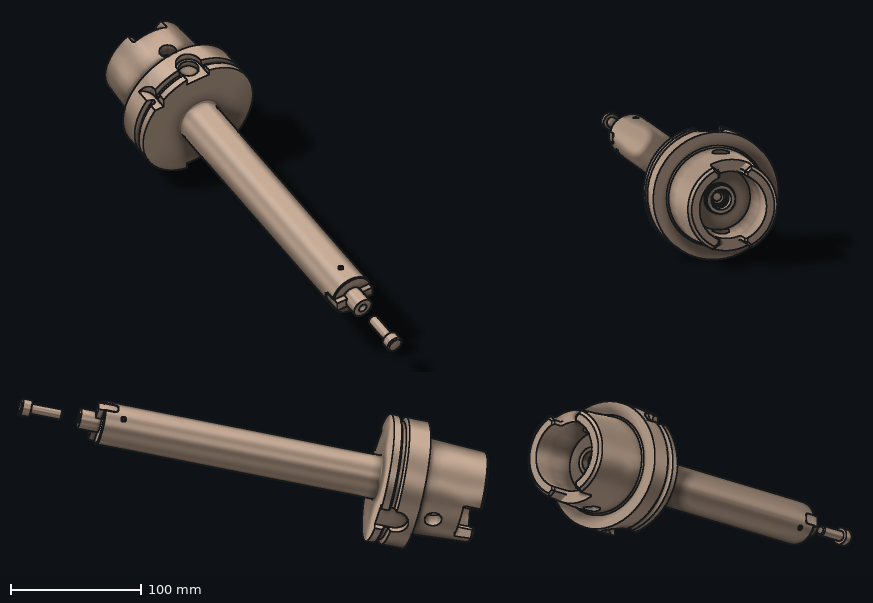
import cadquery as cq
import math

overall_length = 363.0

shank_length = 50.0
shank_root_diameter = 76.0
shank_taper = 0.1
shank_tip_chamfer_length = 1.8
shank_tip_chamfer_height = 2.5
shank_root_land = 1.0
shank_root_flare_length = 1.0
shank_root_flare_height = 1.5
shank_bore_diameter = 53.5
shank_bore_floor = -9.5
shank_bore_narrowing = -31.5
shank_bore_floor_diameter = 49.5
access_hole_diameter = 13.0
access_hole_x = -14.5

drive_slot_width = 20.0
drive_slot_mouth_width = 29.8
drive_slot_flare_start = 28.0
drive_slot_flare_end = 32.0
drive_slot_depths = {1: 10.5, -1: 15.2}
drive_slot_floor_fillet = 1.8
drive_slot_edge_chamfer = 1.8

boss_diameter = 22.5
boss_front = -15.5
boss_collar_diameter = 24.0
boss_collar_front = -12.0
coolant_seat_diameter = 16.0
coolant_seat_depth = 7.3
coolant_step_diameter = 13.0
coolant_step_depth = 3.5
coolant_cone_diameter = 10.0
channel_diameter = 7.0

flange_diameter = 100.0
flange_width = 29.0
groove_x = 20.0
groove_root_diameter = 92.2
groove_root_width = 3.0
groove_half_angle = 24.0
key_slot_width = 20.0
key_slot_end = 5.5
key_slot_floor = 44.0
chip_hole_diameter = 15.5
chip_hole_depth = 5.0
index_notch_offset = 31.2

arbor_diameter = 34.0
arbor_end = 250.0
arbor_root_fillet = 2.0
arbor_end_chamfer_length = 1.0
arbor_end_chamfer_height = 0.5
spigot_diameter = 16.0
spigot_neck_diameter = 15.5
spigot_neck_length = 1.5
spigot_neck_taper_length = 1.0
spigot_length = 16.0
driver_width = 8.0
driver_span = 32.0
driver_start = 239.2
driver_end = 255.0
driver_corner_chamfer = 1.8
outlet_diameter = 2.5
outlet_mouth_diameter = 4.0
outlet_mouth_depth = 1.0
outlet_count = 3
outlet_x = 234.5

screw_end = overall_length - shank_length
screw_length = 33.0
screw_diameter = 8.0
screw_tip_chamfer = 1.0
screw_head_diameter = 13.0
screw_head_length = 8.0
screw_head_chamfer = 1.0

flange_radius = flange_diameter / 2
arbor_radius = arbor_diameter / 2
spigot_end = arbor_end + spigot_length
shank_root_radius = shank_root_diameter / 2
shank_tip_radius = shank_root_radius - shank_taper * shank_length / 2
key_slot_radius = key_slot_width / 2
key_slot_centre = key_slot_end + key_slot_radius


def revolve_about_x(points):
    """Turn a closed (x, radius) outline about the X axis."""
    return cq.Workplane("XY").polyline(points).close().revolve(360, (0, 0, 0), (1, 0, 0))


def cylinder_along_x(diameter, start, end):
    return cq.Workplane("YZ", origin=(start, 0, 0)).circle(diameter / 2).extrude(end - start)


def box_between(x_range, y_range, z_range):
    size = [high - low for low, high in (x_range, y_range, z_range)]
    corner = (x_range[0], y_range[0], z_range[0])
    return cq.Workplane("XY", origin=corner).box(*size, centered=False)


def turned_blank():
    """Shank, flange, arbor and spigot as one turned shape, without bores."""
    chamfer_start = -shank_length + shank_tip_chamfer_length
    chamfer_start_radius = shank_root_radius + shank_taper * chamfer_start / 2
    neck_end = arbor_end + spigot_neck_length
    neck_radius = spigot_neck_diameter / 2
    spigot_radius = spigot_diameter / 2
    fillet_centre = (flange_width + arbor_root_fillet, arbor_radius + arbor_root_fillet)
    fillet_middle_angle = 45
    fillet_reach = arbor_root_fillet * math.sin(math.radians(fillet_middle_angle))
    fillet_middle = (fillet_centre[0] - fillet_reach, fillet_centre[1] - fillet_reach)
    return (
        cq.Workplane("XY")
        .moveTo(-shank_length, 0)
        .lineTo(-shank_length, shank_tip_radius - shank_tip_chamfer_height)
        .lineTo(chamfer_start, chamfer_start_radius)
        .lineTo(-shank_root_flare_length - shank_root_land, shank_root_radius)
        .lineTo(-shank_root_flare_length, shank_root_radius)
        .lineTo(0, shank_root_radius + shank_root_flare_height)
        .lineTo(0, flange_radius)
        .lineTo(flange_width, flange_radius)
        .lineTo(flange_width, fillet_centre[1])
        .threePointArc(fillet_middle, (fillet_centre[0], arbor_radius))
        .lineTo(arbor_end - arbor_end_chamfer_length, arbor_radius)
        .lineTo(arbor_end, arbor_radius - arbor_end_chamfer_height)
        .lineTo(arbor_end, neck_radius)
        .lineTo(neck_end, neck_radius)
        .lineTo(neck_end + spigot_neck_taper_length, spigot_radius)
        .lineTo(spigot_end, spigot_radius)
        .lineTo(spigot_end, 0)
        .close()
        .revolve(360, (0, 0, 0), (1, 0, 0))
    )


def shank_cavity():
    """Bore of the shank around the coolant boss, which is left standing on its bottom."""
    bore_radius = shank_bore_diameter / 2
    boss_radius = boss_diameter / 2
    collar_radius = boss_collar_diameter / 2
    return revolve_about_x([
        (-shank_length, 0),
        (-shank_length, bore_radius),
        (shank_bore_narrowing, bore_radius),
        (shank_bore_floor, shank_bore_floor_diameter / 2),
        (shank_bore_floor, collar_radius),
        (boss_collar_front + collar_radius - boss_radius, collar_radius),
        (boss_collar_front, boss_radius),
        (boss_front, boss_radius),
        (boss_front, 0),
    ])


def coolant_passage():
    """Stepped passage from the boss to the end of the spigot."""
    seat_end = boss_front + coolant_seat_depth
    step_end = seat_end + coolant_step_depth
    cone_end = step_end + (coolant_cone_diameter - channel_diameter) / 2
    return revolve_about_x([
        (boss_front, 0),
        (boss_front, coolant_seat_diameter / 2),
        (seat_end, coolant_seat_diameter / 2),
        (seat_end, coolant_step_diameter / 2),
        (step_end, coolant_step_diameter / 2),
        (step_end, coolant_cone_diameter / 2),
        (cone_end, channel_diameter / 2),
        (spigot_end, channel_diameter / 2),
        (spigot_end, 0),
    ])


def drive_slot(side):
    """Flared slot through one wall of the shank tip: side 1 is towards +Z, side -1 towards -Z."""
    half_width = drive_slot_width / 2
    half_mouth = drive_slot_mouth_width / 2
    flare_slope = (half_mouth - half_width) / (drive_slot_flare_end - drive_slot_flare_start)
    top = flange_radius
    half_top = half_width + flare_slope * (top - drive_slot_flare_start)
    outline = [
        (-half_width, 0),
        (half_width, 0),
        (half_width, side * drive_slot_flare_start),
        (half_top, side * top),
        (-half_top, side * top),
        (-half_width, side * drive_slot_flare_start),
    ]
    depth = drive_slot_depths[side]
    slot = cq.Workplane("YZ", origin=(-shank_length, 0, 0)).polyline(outline).close().extrude(depth)
    slot = slot.faces(">X").edges().fillet(drive_slot_floor_fillet)
    return slot.union(slot_edge_chamfer(outline))


def slot_edge_chamfer(outline):
    """Tapered cut that breaks the edges of a drive slot on the front face of the shank."""
    chamfer_angle = 45
    return (
        cq.Workplane("YZ", origin=(-shank_length, 0, 0))
        .polyline(outline)
        .close()
        .offset2D(drive_slot_edge_chamfer, "intersection")
        .extrude(drive_slot_edge_chamfer, taper=chamfer_angle)
    )


def access_hole():
    """Cross hole through both walls of the shank, clear of the boss inside."""
    return (
        cq.Workplane("XY", origin=(access_hole_x, 0, -flange_radius))
        .circle(access_hole_diameter / 2)
        .extrude(flange_diameter)
        .cut(cylinder_along_x(shank_bore_floor_diameter, -shank_length, flange_width))
    )


def gripper_groove():
    """V-groove around the flange."""
    root_radius = groove_root_diameter / 2
    half_root = groove_root_width / 2
    half_mouth = half_root + (flange_radius - root_radius) * math.tan(math.radians(groove_half_angle))
    return revolve_about_x([
        (groove_x - half_mouth, flange_radius),
        (groove_x - half_root, root_radius),
        (groove_x + half_root, root_radius),
        (groove_x + half_mouth, flange_radius),
    ])


def round_ended_slot(y_centre, floor):
    """Slot with its floor at Z = floor, rounded at its -X end and open through the +X face."""
    height = flange_radius - floor
    y_range = (y_centre - key_slot_radius, y_centre + key_slot_radius)
    straight = box_between((key_slot_centre, flange_width), y_range, (floor, flange_radius))
    rounded = (
        cq.Workplane("XY", origin=(key_slot_centre, y_centre, floor))
        .circle(key_slot_radius)
        .extrude(height)
    )
    return straight.union(rounded)


def flange_cuts():
    """Opposite key slots, the chip hole in the upper one, and the index notch."""
    key_slot = round_ended_slot(0, key_slot_floor)
    chip_hole = (
        cq.Workplane("XY", origin=(key_slot_centre, 0, key_slot_floor - chip_hole_depth))
        .circle(chip_hole_diameter / 2)
        .extrude(chip_hole_depth)
    )
    index_notch = round_ended_slot(-index_notch_offset - key_slot_radius, index_notch_offset)
    return [key_slot, key_slot.mirror("XY"), chip_hole, index_notch]


def driver_blank(y_limit):
    """Bar across the arbor end, with cut corners at its -X end, reaching y_limit on both sides."""
    return (
        box_between(
            (driver_start, driver_end),
            (-y_limit, y_limit),
            (-driver_width / 2, driver_width / 2),
        )
        .edges("|Y and <X")
        .chamfer(driver_corner_chamfer)
    )


def coolant_outlets():
    """Stepped radial holes from the central channel to the outside of the arbor."""
    bore = cq.Workplane("XY", origin=(outlet_x, 0, 0)).circle(outlet_diameter / 2).extrude(arbor_radius)
    mouth = (
        cq.Workplane("XY", origin=(outlet_x, 0, arbor_radius - outlet_mouth_depth))
        .circle(outlet_mouth_diameter / 2)
        .extrude(outlet_mouth_depth)
    )
    outlet = bore.union(mouth)
    step = 360 / outlet_count
    return [outlet.rotate((0, 0, 0), (1, 0, 0), i * step) for i in range(outlet_count)]


def make_holder():
    holder = turned_blank().cut(shank_cavity())
    for side in drive_slot_depths:
        holder = holder.cut(drive_slot(side))
    holder = holder.cut(access_hole()).cut(gripper_groove())
    for cut in flange_cuts():
        holder = holder.cut(cut)
    holder = holder.cut(driver_blank(arbor_radius)).union(driver_blank(driver_span / 2))
    holder = holder.cut(coolant_passage())
    for outlet in coolant_outlets():
        holder = holder.cut(outlet)
    return holder


def make_screw():
    head_start = screw_end - screw_head_length
    shaft = cylinder_along_x(screw_diameter, screw_end - screw_length, head_start)
    shaft = shaft.faces("<X").chamfer(screw_tip_chamfer)
    head = cylinder_along_x(screw_head_diameter, head_start, screw_end)
    head = head.faces(">X").chamfer(screw_head_chamfer)
    return shaft.union(head)


holder = make_holder()
screw = make_screw()
result = cq.Compound.makeCompound([holder.val(), screw.val()])